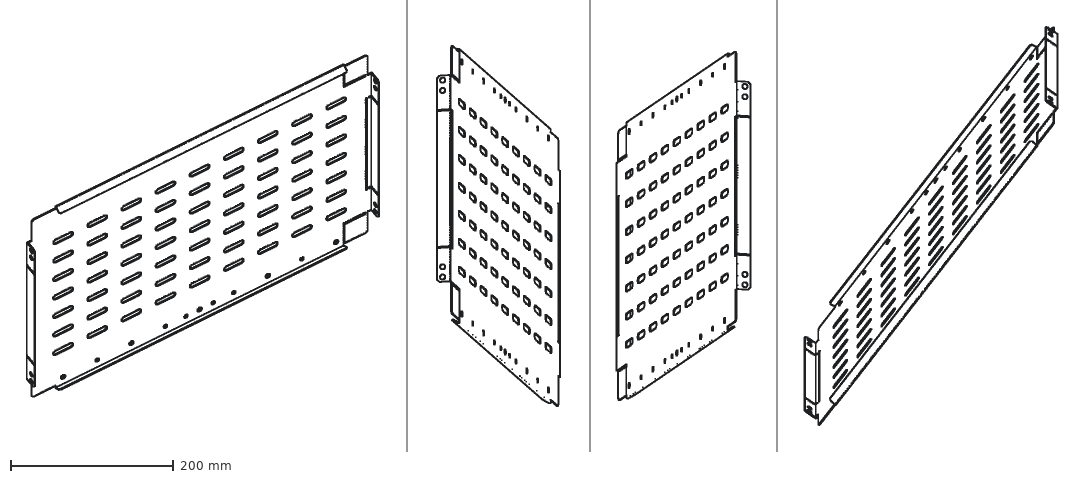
import cadquery as cq
import math

depth = 17.5
width = 505.5
height = 348.93

thickness = 1.5

flange_length = 262.0
flange_chamfer = 3.0

lip_length = 422.0
lip_bend_angle = 120.0
lip_reach = 10.5
lip_chamfer = 2.0
lip_fold_z = height / 2 - thickness

tab_outer_y = 246.25
tab_top_z = 170.0
tab_chamfer = 3.0
tab_side_slit = 1.5
tab_bottom_slit = 2.5
tab_bridge = 3.0

slit_width = 1.5
flange_slit_z = 87.0
panel_slit_y = 244.25
flange_slit_inner_y = 248.0

slot_columns = 9
slot_rows = 7
slot_pitch_y = 50.0
slot_pitch_z = 35.5
slot_length = 29.0
slot_width = 8.0

edge_hole_z = 160.0
large_edge_hole = 6.5
small_edge_hole = 5.2
large_edge_hole_y = (-200.0, -100.0, 0.0, 100.0, 200.0)
small_edge_hole_y = (-150.0, -50.0, -20.0, 20.0, 50.0, 150.0)

flange_hole = 6.5
flange_hole_x = 10.5
flange_hole_z = (112.0, 125.0)


def slab(y_size, z_size, y=0.0, z=0.0):
    """Flat sheet centred at (y, z), with its front face on X = 0."""
    return cq.Workplane("XY").box(thickness, y_size, z_size).translate((thickness / 2, y, z))


def make_panel():
    """Flat cross-shaped panel, up to the outer faces of the flanges and the start of the lip bends."""
    wide_part = slab(width, flange_length)
    tall_part = slab(lip_length, 2 * lip_fold_z)
    return wide_part.union(tall_part)


def make_flanges():
    """Square-cornered flanges with chamfered tips."""
    flange = cq.Workplane("XY").box(depth, thickness, flange_length)
    flange = flange.edges("|Y and >X").chamfer(flange_chamfer)
    flange = flange.translate((depth / 2, (width - thickness) / 2, 0))
    return flange.union(flange.mirror("XZ"))


def make_lips():
    """Lips folded about a sharp inner corner, so the outside of the bend has the sheet thickness as radius."""
    angle = math.radians(lip_bend_angle)
    fold = cq.Vector(thickness, lip_fold_z)
    start_normal = cq.Vector(-1, 0)
    middle_normal = cq.Vector(-math.cos(angle / 2), math.sin(angle / 2))
    leaf_normal = cq.Vector(-math.cos(angle), math.sin(angle))
    leaf_direction = cq.Vector(math.sin(angle), math.cos(angle))

    bend_start = fold + start_normal * thickness
    bend_middle = fold + middle_normal * thickness
    bend_end = fold + leaf_normal * thickness
    leaf_length = (lip_reach - bend_end.x) / leaf_direction.x
    outer_tip = bend_end + leaf_direction * leaf_length
    inner_tip = fold + leaf_direction * leaf_length

    lip = (
        cq.Workplane("XZ")
        .moveTo(bend_start.x, bend_start.y)
        .threePointArc((bend_middle.x, bend_middle.y), (bend_end.x, bend_end.y))
        .lineTo(outer_tip.x, outer_tip.y)
        .lineTo(inner_tip.x, inner_tip.y)
        .lineTo(fold.x, fold.y)
        .close()
        .extrude(lip_length / 2, both=True)
    )
    tip_corners = cq.selectors.ParallelDirSelector(cq.Vector(leaf_normal.x, 0, leaf_normal.y))
    lip = lip.edges(tip_corners).chamfer(lip_chamfer)
    return lip.union(lip.mirror("XY"))


def make_corner_tab():
    """Corner tab at +Y, +Z that runs unbroken into the panel."""
    y_size = tab_outer_y - lip_length / 2
    z_size = tab_top_z - flange_length / 2
    tab = slab(y_size, z_size, tab_outer_y - y_size / 2, tab_top_z - z_size / 2)
    return tab.edges("|X and >Y and >Z").chamfer(tab_chamfer)


def make_tabs():
    """Four corner tabs: the +Y pair is slit down to bridges, the -Y pair is plain."""
    plain_tab = make_corner_tab()
    slit_tab = plain_tab.cut(tab_slits())
    upper_tabs = slit_tab.union(plain_tab.mirror("XZ"))
    return upper_tabs.union(upper_tabs.mirror("XY"))


def tab_slits():
    """L-shaped slit around the +Y, +Z tab, stopping short of its outer edge to leave a bridge."""
    inner_y = lip_length / 2
    bottom_z = flange_length / 2
    y_size = tab_outer_y - tab_bridge - inner_y
    z_size = tab_top_z - bottom_z
    below = slab(y_size, tab_bottom_slit, inner_y + y_size / 2, bottom_z + tab_bottom_slit / 2)
    beside = slab(tab_side_slit, z_size, inner_y + tab_side_slit / 2, bottom_z + z_size / 2)
    return below.union(beside)


def slots():
    return (
        cq.Workplane("YZ")
        .rarray(slot_pitch_y, slot_pitch_z, slot_columns, slot_rows)
        .slot2D(slot_length, slot_width)
        .extrude(thickness)
    )


def edge_holes(diameter, y_positions):
    points = [(y, side * edge_hole_z) for y in y_positions for side in (-1, 1)]
    return cq.Workplane("YZ").pushPoints(points).circle(diameter / 2).extrude(thickness)


def flange_holes():
    """Holes through both side flanges."""
    points = [(flange_hole_x, side * z) for z in flange_hole_z for side in (-1, 1)]
    return cq.Workplane("XZ").pushPoints(points).circle(flange_hole / 2).extrude(width / 2, both=True)


def flange_slits(side):
    """Slit in the panel behind one flange and the two slits across that flange."""
    panel_slit = slab(slit_width, 2 * flange_slit_z + slit_width, side * panel_slit_y)
    cut_y = width / 2 - flange_slit_inner_y
    cross_slit = cq.Workplane("XY").box(depth, cut_y, slit_width)
    cross_slit = cross_slit.translate((depth / 2, side * (flange_slit_inner_y + cut_y / 2), 0))
    upper = cross_slit.translate((0, 0, flange_slit_z))
    lower = cross_slit.translate((0, 0, -flange_slit_z))
    return panel_slit.union(upper).union(lower)


result = make_panel().union(make_flanges()).union(make_lips()).union(make_tabs())
result = result.cut(slots())
result = result.cut(edge_holes(large_edge_hole, large_edge_hole_y))
result = result.cut(edge_holes(small_edge_hole, small_edge_hole_y))
result = result.cut(flange_holes())
for side in (-1, 1):
    result = result.cut(flange_slits(side))